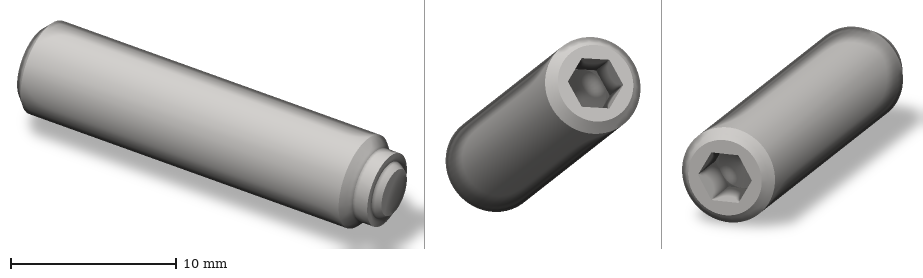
import cadquery as cq
import math

total_length = 25.1
body_radius = 6.0 / 2
end_chamfer = 0.63

nose_radius = 2.35
nose_length = 1.5
tip_length = 0.5

ball_radius = 2.0
ball_flat_radius = 1.5

socket_width = 3.0
socket_depth = 3.0
drill_point_angle = 120.0

body_end = total_length - nose_length
tip_start = total_length - tip_length
ball_center = total_length - math.sqrt(ball_radius**2 - ball_flat_radius**2)


def ball_radius_at(x):
    """Radius of the ball's circular section at position x."""
    return math.sqrt(ball_radius**2 - (x - ball_center) ** 2)


def make_body():
    """Revolve the chamfered shank and its stepped nose with its ball tip about the X axis."""
    cap_middle = tip_start + tip_length / 2
    profile = (
        cq.Workplane("XY")
        .moveTo(0, 0)
        .lineTo(0, body_radius - end_chamfer)
        .lineTo(end_chamfer, body_radius)
        .lineTo(body_end - end_chamfer, body_radius)
        .lineTo(body_end, nose_radius)
        .lineTo(tip_start, nose_radius)
        .lineTo(tip_start, ball_radius_at(tip_start))
        .threePointArc((cap_middle, ball_radius_at(cap_middle)), (total_length, ball_flat_radius))
        .lineTo(total_length, 0)
        .close()
    )
    return profile.revolve(360, (0, 0, 0), (1, 0, 0))


def make_socket():
    """Hexagonal pocket with corners on +Y and -Y, ending in a drill-point cone."""
    across_corners = socket_width / math.cos(math.radians(30))
    hexagon = cq.Workplane("YZ").polygon(6, across_corners).extrude(socket_depth)
    cone_radius = socket_width / 2
    cone_height = cone_radius / math.tan(math.radians(drill_point_angle / 2))
    cone = cq.Workplane("XY").add(
        cq.Solid.makeCone(
            cone_radius, 0, cone_height,
            pnt=cq.Vector(socket_depth, 0, 0), dir=cq.Vector(1, 0, 0),
        )
    )
    return hexagon.union(cone)


result = make_body().cut(make_socket())